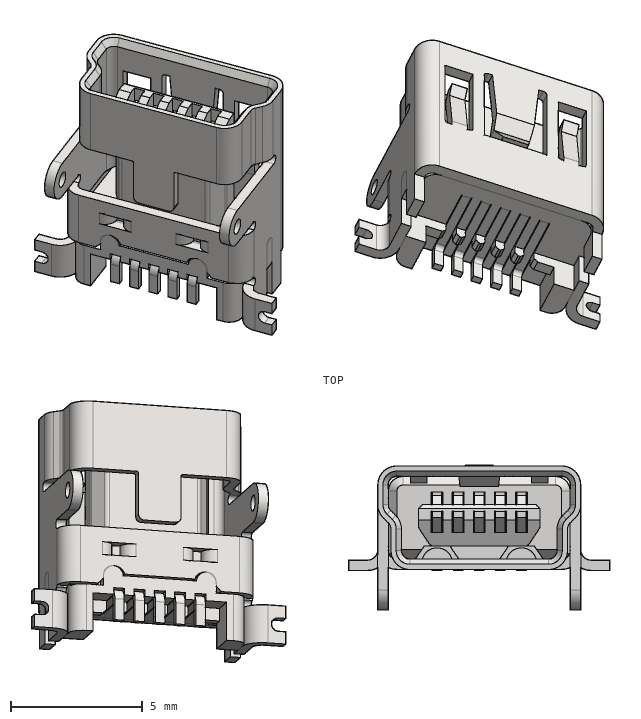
import cadquery as cq
import math


HEIGHT = 9.0
HALF_WIDTH = 3.85
DEPTH = 3.93
WALL = 0.4
CORNER_R = 0.72
INNER_R = CORNER_R - WALL
INNER_HALF = HALF_WIDTH - WALL
INNER_BACK = DEPTH - WALL
MOUTH_Z = 6.37
MOUTH_BEND_ANGLE = 45
MOUTH_NECK_INSET = 0.5
MOUTH_BEND_Y = 2.466
MOUTH_CHAMFER = 0.2
MOUTH_CHAMFER_DEPTH = 0.28
BACK_BOTTOM_Z = 1.49
FRONT_BAND_TOP_Z = 4.1
FRONT_BAND_BOTTOM_Z = 1.89
BAND_BEVEL = 0.2

FLAP_HALF = 0.84
FLAP_BOTTOM_Z = 4.48
FLAP_TIP_R = 0.22
FLAP_ROOT_R = 0.08

EAR_TOP_Z = 6.0
EAR_BOTTOM_Z = FRONT_BAND_TOP_Z + (MOUTH_Z - EAR_TOP_Z)
EAR_R = (EAR_TOP_Z - EAR_BOTTOM_Z) / 2
EAR_CENTRE_Z = (EAR_TOP_Z + EAR_BOTTOM_Z) / 2
EAR_HOLE_Y = -0.775
EAR_HOLE_R = 0.3
UPPER_RELIEF_END_Y = 2.72
LOWER_RELIEF_END_Y = 0.876

LEG_REAR_Y = DEPTH - CORNER_R
LEG_SLOT_FRONT_Y = 1.91
LEG_SLOT_REAR_Y = 2.39
LEG_SLOT_TOP_Z = 2.75

FLANGE_END_X = 4.95
FLANGE_FRONT_Y = -0.04
FLANGE_BEND_R = 0.39
FLANGE_NOTCH_X = 4.39
FLANGE_NOTCH_R = 0.26

WINDOW_X = 1.6
WINDOW_WIDTH = 1.33
WINDOW_BOTTOM_Z = 3.02
WINDOW_TOP_Z = 3.52

SPRING_ROOT_HALF = 0.95
SPRING_CREST_HALF = 0.73
SPRING_TIP_HALF = 0.52
SPRING_SLOT_HALF = 1.28
SPRING_SLOT_R = 0.15
SPRING_ROOT_Z = 8.0
SPRING_BEND_Z = 5.8
SPRING_CREST_Z = 5.2
SPRING_TIP_Z = 4.44
SPRING_SLOT_BOTTOM_Z = 4.25
SPRING_REACH = 0.38
SPRING_TIP_PROUD = 0.04
LATCH_INNER_X = 1.98
LATCH_OUTER_X = 2.61
LATCH_SLOT_INNER_X = 1.75
LATCH_SLOT_OUTER_X = 2.9
LATCH_SLOT_TOP_Z = 7.66
LATCH_SLOT_BOTTOM_Z = 4.25
LATCH_BEND_Z = 4.44
LATCH_CREST_Z = 6.27
LATCH_TIP_Z = 6.7
LATCH_REACH = 0.25

FLOOR_Z = 3.4
HOUSING_R = 0.55
FLOOR_CHAMFER = 0.33
FRONT_BEVEL_DEPTH = 0.35
FRONT_BEVEL_HEIGHT = 0.6
PLATE_SIDE_Z = 1.82
PLATE_MIDDLE_Z = 2.24
PLATE_GAP = 0.07
LUG_X = 1.83
LUG_R = 0.39
LUG_TOP_Z = 2.61
FOOT_INNER_X = 2.63
FOOT_DEPTH = 1.4
COMB_BOTTOM_Z = 1.0
COMB_FRONT_Y = 1.0
COMB_CHAMFER = 0.14
BUMP_FRONT_HALF = 0.82
BUMP_REAR_HALF = 0.49
BUMP_REAR_Y = 0.89
BUMP_TOP_Z = 3.6
DOME_HALF = 0.56
DOME_REAR_Y = 0.82
DOME_HEIGHT = 0.1
GROOVE_LIP_R = 0.5
GROOVE_HALF = WINDOW_WIDTH / 2
GROOVE_FRONT_Y = 0.0

TONGUE_HALF = 2.3
TONGUE_FRONT_HALF = 1.84
TONGUE_FRONT_Y = 0.89
TONGUE_TAPER_Y = 1.58
TONGUE_REAR_Y = 2.46
TONGUE_TIP_Z = 8.06
TONGUE_EDGE = 0.15
TONGUE_EDGE_R = 0.2
TONGUE_SLOPE_Y = 1.87
TONGUE_SLOPE_DROP = 0.5

CONTACT_COUNT = 5
CONTACT_PITCH = 0.8
CONTACT_WIDTH = 0.37
CONTACT_SLOT_WIDTH = 0.43
CONTACT_BOTTOM_Z = 0.49
CONTACT_TOP_Z = 1.75
CONTACT_BEND_R = 0.44
CONTACT_THICKNESS = CONTACT_TOP_Z - BACK_BOTTOM_Z
CONTACT_FRONT_Y = FLANGE_FRONT_Y
CONTACT_SLOT_FRONT_Y = 1.41
CONTACT_SLOT_REAR_Y = 2.93
TONGUE_SLOT_REAR_Y = 2.2
BEAM_FRONT_Y = 1.97
BEAM_SHOULDER_Z = 6.6
BEAM_TOP_Z = 7.5
HEEL_TOP_Z = 2.3
HEEL_REAR_Y = 2.81

CONTACT_XS = [(i - (CONTACT_COUNT - 1) / 2) * CONTACT_PITCH for i in range(CONTACT_COUNT)]


def box(x0, x1, y0, y1, z0, z1):
    return cq.Workplane("XY").box(x1 - x0, y1 - y0, z1 - z0, centered=False).translate((x0, y0, z0))


def both_sides(body):
    return body.union(body.mirror("YZ"))


def along_x(profile, x0, x1):
    """Extrude a YZ-plane profile from x0 to x1."""
    return profile.extrude(x1 - x0).translate((x0, 0, 0))


def along_y(profile, y0, y1):
    """Extrude an XZ-plane profile from y0 to y1."""
    return profile.extrude(y0 - y1).translate((0, y0, 0))


def rounded_block(half_width, y0, y1, radius, z0, z1):
    return box(-half_width, half_width, y0, y1, z0, z1).edges("|Z").fillet(radius)


def mouth_outline(z):
    """Outer outline of the mouth: wide at the back, necked in through S-bends."""
    neck_half = HALF_WIDTH - MOUTH_NECK_INSET
    bend = math.radians(MOUTH_BEND_ANGLE)
    rise = math.sin(bend)
    shift = 1 - math.cos(bend)
    mid_rise = math.sin(bend / 2)
    mid_shift = 1 - math.cos(bend / 2)
    bend_end_x = HALF_WIDTH - CORNER_R * shift
    bend_end_y = MOUTH_BEND_Y - CORNER_R * rise
    neck_start_x = neck_half + INNER_R * shift
    neck_start_y = bend_end_y - (bend_end_x - neck_start_x) / math.tan(bend)
    neck_y = neck_start_y - INNER_R * rise
    corner = CORNER_R * (1 - math.sqrt(0.5))
    left = [
        (-HALF_WIDTH + CORNER_R, DEPTH),
        (-HALF_WIDTH + corner, DEPTH - corner),
        (-HALF_WIDTH, DEPTH - CORNER_R),
        (-HALF_WIDTH, MOUTH_BEND_Y),
        (-HALF_WIDTH + CORNER_R * mid_shift, MOUTH_BEND_Y - CORNER_R * mid_rise),
        (-bend_end_x, bend_end_y),
        (-neck_start_x, neck_start_y),
        (-neck_half - INNER_R * mid_shift, neck_y + INNER_R * mid_rise),
        (-neck_half, neck_y),
        (-neck_half, CORNER_R),
        (-neck_half + corner, corner),
        (-neck_half + CORNER_R, 0),
    ]
    right = [(-x, y) for x, y in reversed(left)]
    outline = cq.Workplane("XY").workplane(offset=z).moveTo(*left[0])
    for side in (left, right):
        if side is right:
            outline = outline.lineTo(*side[0])
        for middle in range(1, len(side), 3):
            outline = outline.threePointArc(side[middle], side[middle + 1])
            if middle + 2 < len(side):
                outline = outline.lineTo(*side[middle + 2])
    return outline.close()


def mouth():
    height = HEIGHT - MOUTH_Z
    outer = mouth_outline(MOUTH_Z).extrude(height)
    bore = mouth_outline(MOUTH_Z).offset2D(-WALL).extrude(height)
    taper = math.degrees(math.atan2(MOUTH_CHAMFER, MOUTH_CHAMFER_DEPTH))
    lead_in = (
        mouth_outline(HEIGHT)
        .offset2D(-WALL + MOUTH_CHAMFER)
        .extrude(-MOUTH_CHAMFER_DEPTH, taper=taper)
    )
    return outer.cut(bore).cut(lead_in)


def flap():
    """Tab hanging from the front of the mouth, with rounded tip and filleted root."""
    tab = box(-FLAP_HALF, FLAP_HALF, 0, WALL, FLAP_BOTTOM_Z, MOUTH_Z)
    tab = tab.edges("|Y and <Z").fillet(FLAP_TIP_R)
    root = (
        cq.Workplane("XZ")
        .moveTo(FLAP_HALF, MOUTH_Z)
        .lineTo(FLAP_HALF + FLAP_ROOT_R, MOUTH_Z)
        .radiusArc((FLAP_HALF, MOUTH_Z - FLAP_ROOT_R), -FLAP_ROOT_R)
        .close()
    )
    return tab.union(both_sides(along_y(root, 0, WALL)))


def relief_slot(end_y, z0, z1):
    """Slot through the shell sides, open to the front, with a round inner end."""
    radius = (z1 - z0) / 2
    slot = box(-HALF_WIDTH, HALF_WIDTH, FLANGE_FRONT_Y, end_y - radius, z0, z1)
    end = cq.Workplane("YZ").center(end_y - radius, z0 + radius).circle(radius)
    return slot.union(along_x(end, -HALF_WIDTH, HALF_WIDTH))


def lug(centre_x, radius, base_z):
    """Upright tongue with a semicircular top, as thick as the shell wall."""
    centre_z = LUG_TOP_Z - radius
    stem = box(centre_x - radius, centre_x + radius, 0, WALL, base_z, centre_z)
    head = cq.Workplane("XZ").center(centre_x, centre_z).circle(radius)
    return stem.union(along_y(head, 0, WALL))


def front_band_cutout():
    """Opening in the lower edge of the front band that receives the housing plate."""
    radius = LUG_R + PLATE_GAP / 2
    centre_x = LUG_X - PLATE_GAP / 2
    outer_x = centre_x + radius
    middle = box(-centre_x, centre_x, 0, WALL, BACK_BOTTOM_Z, PLATE_MIDDLE_Z + PLATE_GAP)
    corner = cq.Workplane("XZ").polyline([
        (outer_x, FRONT_BAND_BOTTOM_Z + BAND_BEVEL),
        (outer_x + BAND_BEVEL, FRONT_BAND_BOTTOM_Z),
        (outer_x, FRONT_BAND_BOTTOM_Z),
    ]).close()
    side = lug(centre_x, radius, BACK_BOTTOM_Z).union(along_y(corner, 0, WALL))
    return middle.union(both_sides(side))


def lower_tube():
    """Rounded tube below the mouth, cut away to leave back, sides and front band."""
    tube = rounded_block(HALF_WIDTH, 0, DEPTH, CORNER_R, BACK_BOTTOM_Z, MOUTH_Z)
    tube = tube.cut(rounded_block(INNER_HALF, WALL, INNER_BACK, INNER_R, BACK_BOTTOM_Z, MOUTH_Z))
    tube = tube.cut(
        box(-HALF_WIDTH, HALF_WIDTH, 0, CORNER_R, FRONT_BAND_TOP_Z, MOUTH_Z)
    )
    tube = tube.cut(
        box(-HALF_WIDTH, HALF_WIDTH, 0, CORNER_R, BACK_BOTTOM_Z, FRONT_BAND_BOTTOM_Z)
    )
    half = WINDOW_WIDTH / 2
    window = box(WINDOW_X - half, WINDOW_X + half, 0, WALL, WINDOW_BOTTOM_Z, WINDOW_TOP_Z)
    return tube.cut(both_sides(window)).cut(front_band_cutout())


def ear():
    """Side-wall ear reaching forward, with a round end and a hole."""
    plate = box(INNER_HALF, HALF_WIDTH, EAR_HOLE_Y, UPPER_RELIEF_END_Y, EAR_BOTTOM_Z, EAR_TOP_Z)
    centre = cq.Workplane("YZ").center(EAR_HOLE_Y, EAR_CENTRE_Z)
    plate = plate.union(along_x(centre.circle(EAR_R), INNER_HALF, HALF_WIDTH))
    return plate.cut(along_x(centre.circle(EAR_HOLE_R), INNER_HALF, HALF_WIDTH))


def leg():
    """Side-wall legs below the tube; the front one bends outward into a notched flange."""
    bend_y = FLANGE_FRONT_Y + WALL + FLANGE_BEND_R
    bend_x = HALF_WIDTH + FLANGE_BEND_R
    flange = (
        cq.Workplane("XY")
        .moveTo(INNER_HALF, LEG_REAR_Y)
        .lineTo(INNER_HALF, bend_y)
        .radiusArc((bend_x, FLANGE_FRONT_Y), -(FLANGE_BEND_R + WALL))
        .lineTo(FLANGE_END_X, FLANGE_FRONT_Y)
        .lineTo(FLANGE_END_X, FLANGE_FRONT_Y + WALL)
        .lineTo(bend_x, FLANGE_FRONT_Y + WALL)
        .radiusArc((HALF_WIDTH, bend_y), FLANGE_BEND_R)
        .lineTo(HALF_WIDTH, LEG_REAR_Y)
        .close()
        .extrude(BACK_BOTTOM_Z)
    )
    strip = box(
        INNER_HALF, HALF_WIDTH, CORNER_R, LEG_REAR_Y, BACK_BOTTOM_Z, FRONT_BAND_BOTTOM_Z
    )
    notch_z = BACK_BOTTOM_Z / 2
    notch_centre_x = FLANGE_NOTCH_X + FLANGE_NOTCH_R
    notch_end = cq.Workplane("XZ").center(notch_centre_x, notch_z).circle(FLANGE_NOTCH_R)
    flange_rear_y = FLANGE_FRONT_Y + WALL
    notch = box(
        notch_centre_x, FLANGE_END_X, FLANGE_FRONT_Y, flange_rear_y,
        notch_z - FLANGE_NOTCH_R, notch_z + FLANGE_NOTCH_R,
    ).union(along_y(notch_end, FLANGE_FRONT_Y, flange_rear_y))
    return flange.union(strip).cut(notch)


def leg_slot():
    """Round-topped slot that splits each side wall into a front and a rear leg."""
    radius = (LEG_SLOT_REAR_Y - LEG_SLOT_FRONT_Y) / 2
    top_z = LEG_SLOT_TOP_Z - radius
    centre_y = LEG_SLOT_FRONT_Y + radius
    slot = box(INNER_HALF, HALF_WIDTH, LEG_SLOT_FRONT_Y, LEG_SLOT_REAR_Y, 0, top_z)
    end = cq.Workplane("YZ").center(centre_y, top_z).circle(radius)
    return both_sides(slot.union(along_x(end, INNER_HALF, HALF_WIDTH)))


def bent_strip(path, x0, x1):
    """Strip of wall thickness whose inner face follows a (y, z) path."""
    outer = [(y + WALL, z) for y, z in reversed(path)]
    return along_x(cq.Workplane("YZ").polyline(path + outer).close(), x0, x1)


def back_wall_slots():
    centre = box(
        -SPRING_SLOT_HALF, SPRING_SLOT_HALF, INNER_BACK, DEPTH, SPRING_SLOT_BOTTOM_Z, SPRING_ROOT_Z
    )
    centre = centre.edges("|Y and >Z").fillet(SPRING_SLOT_R)
    side = box(
        LATCH_SLOT_INNER_X, LATCH_SLOT_OUTER_X, INNER_BACK, DEPTH,
        LATCH_SLOT_BOTTOM_Z, LATCH_SLOT_TOP_Z,
    )
    side = side.edges("|Y and <Z").fillet((LATCH_SLOT_OUTER_X - LATCH_OUTER_X) / 2)
    return centre.union(both_sides(side))


def centre_spring():
    """Spring hanging from its root, bent into the shell, its tip just proud of the back."""
    strip = bent_strip(
        [
            (INNER_BACK, SPRING_ROOT_Z),
            (INNER_BACK, SPRING_BEND_Z),
            (INNER_BACK - SPRING_REACH, SPRING_CREST_Z),
            (INNER_BACK + SPRING_TIP_PROUD, SPRING_TIP_Z),
        ],
        -SPRING_ROOT_HALF, SPRING_ROOT_HALF,
    )
    outline = cq.Workplane("XZ").polyline([
        (-SPRING_ROOT_HALF, SPRING_ROOT_Z),
        (SPRING_ROOT_HALF, SPRING_ROOT_Z),
        (SPRING_CREST_HALF, SPRING_CREST_Z),
        (SPRING_TIP_HALF, SPRING_TIP_Z),
        (-SPRING_TIP_HALF, SPRING_TIP_Z),
        (-SPRING_CREST_HALF, SPRING_CREST_Z),
    ]).close()
    return strip.intersect(along_y(outline, INNER_BACK - SPRING_REACH, DEPTH + SPRING_TIP_PROUD))


def side_latches():
    """Latches standing on the lower slot ends, bent inward and back out at the tip."""
    latch = bent_strip(
        [
            (INNER_BACK, LATCH_SLOT_BOTTOM_Z),
            (INNER_BACK, LATCH_BEND_Z),
            (INNER_BACK - LATCH_REACH, LATCH_CREST_Z),
            (INNER_BACK, LATCH_TIP_Z),
        ],
        LATCH_INNER_X, LATCH_OUTER_X,
    )
    return both_sides(latch)


def shell():
    body = mouth().union(lower_tube())
    body = body.union(both_sides(ear())).union(both_sides(leg()))
    body = body.cut(relief_slot(UPPER_RELIEF_END_Y, EAR_TOP_Z, MOUTH_Z))
    body = body.cut(relief_slot(LOWER_RELIEF_END_Y, FRONT_BAND_TOP_Z, EAR_BOTTOM_Z))
    body = body.cut(relief_slot(LOWER_RELIEF_END_Y, BACK_BOTTOM_Z, PLATE_SIDE_Z))
    body = body.cut(leg_slot()).cut(back_wall_slots())
    return body.union(flap()).union(centre_spring()).union(side_latches())


def housing_base():
    """Block filling the shell below the floor, with the front plate, lugs and feet."""
    body = rounded_block(INNER_HALF, 0, INNER_BACK, HOUSING_R, 0, FLOOR_Z)
    body = body.faces(">Z").edges().chamfer(FLOOR_CHAMFER)
    body = body.cut(box(-INNER_HALF, INNER_HALF, 0, WALL, PLATE_SIDE_Z, FLOOR_Z))
    body = body.cut(box(-FOOT_INNER_X, FOOT_INNER_X, 0, FOOT_DEPTH, 0, BACK_BOTTOM_Z))
    body = body.cut(box(-INNER_HALF, INNER_HALF, FOOT_DEPTH, INNER_BACK, 0, BACK_BOTTOM_Z))
    middle = box(-LUG_X, LUG_X, 0, WALL, BACK_BOTTOM_Z, PLATE_MIDDLE_Z)
    body = body.union(middle).union(both_sides(lug(LUG_X, LUG_R, BACK_BOTTOM_Z)))
    bevel = cq.Workplane("YZ").polyline([
        (WALL, FLOOR_Z),
        (WALL + FRONT_BEVEL_DEPTH, FLOOR_Z),
        (WALL, FLOOR_Z - FRONT_BEVEL_HEIGHT),
    ]).close()
    return body.cut(both_sides(along_x(bevel, WINDOW_X + BUMP_REAR_HALF, INNER_HALF)))


def comb():
    """Rib under the block whose notches guide the contacts."""
    rib = box(-FOOT_INNER_X, FOOT_INNER_X, COMB_FRONT_Y, FOOT_DEPTH, COMB_BOTTOM_Z, BACK_BOTTOM_Z)
    half = CONTACT_SLOT_WIDTH / 2
    for x in CONTACT_XS:
        notch = cq.Workplane("XZ").polyline([
            (x - half - COMB_CHAMFER, COMB_BOTTOM_Z),
            (x - half, COMB_BOTTOM_Z + COMB_CHAMFER),
            (x - half, BACK_BOTTOM_Z),
            (x + half, BACK_BOTTOM_Z),
            (x + half, COMB_BOTTOM_Z + COMB_CHAMFER),
            (x + half + COMB_CHAMFER, COMB_BOTTOM_Z),
        ]).close()
        rib = rib.cut(along_y(notch, COMB_FRONT_Y, FOOT_DEPTH))
    return rib


def bump():
    """Trapezoidal block behind a front band window, topped by a low domed step."""
    block = (
        cq.Workplane("XY")
        .workplane(offset=PLATE_MIDDLE_Z)
        .polyline([
            (WINDOW_X - BUMP_FRONT_HALF, WALL),
            (WINDOW_X + BUMP_FRONT_HALF, WALL),
            (WINDOW_X + BUMP_REAR_HALF, BUMP_REAR_Y),
            (WINDOW_X - BUMP_REAR_HALF, BUMP_REAR_Y),
        ])
        .close()
        .extrude(BUMP_TOP_Z - PLATE_MIDDLE_Z)
    )
    dome = (
        cq.Workplane("XY")
        .workplane(offset=BUMP_TOP_Z)
        .moveTo(WINDOW_X - DOME_HALF, WALL)
        .threePointArc((WINDOW_X, DOME_REAR_Y), (WINDOW_X + DOME_HALF, WALL))
        .close()
        .extrude(DOME_HEIGHT)
    )
    return block.union(dome)


def window_plug():
    """Latch of the housing that fills a front band window flush with the shell."""
    return box(
        WINDOW_X - GROOVE_HALF, WINDOW_X + GROOVE_HALF,
        GROOVE_FRONT_Y, WALL, WINDOW_BOTTOM_Z, WINDOW_TOP_Z,
    )


def window_groove():
    """Groove in the latch of a front band window, its sides flaring to the front as round lips."""
    rear_half = GROOVE_HALF - GROOVE_LIP_R
    rear_y = GROOVE_FRONT_Y + GROOVE_LIP_R
    return (
        cq.Workplane("XY")
        .workplane(offset=WINDOW_BOTTOM_Z)
        .moveTo(WINDOW_X - GROOVE_HALF, GROOVE_FRONT_Y)
        .radiusArc((WINDOW_X - rear_half, rear_y), -GROOVE_LIP_R)
        .lineTo(WINDOW_X + rear_half, rear_y)
        .radiusArc((WINDOW_X + GROOVE_HALF, GROOVE_FRONT_Y), -GROOVE_LIP_R)
        .close()
        .extrude(WINDOW_TOP_Z - WINDOW_BOTTOM_Z)
    )


def tongue():
    """Tongue tapering to the front in plan, with a sloped tip and a chamfered rear edge."""
    body = (
        cq.Workplane("XY")
        .workplane(offset=FLOOR_Z)
        .polyline([
            (-TONGUE_FRONT_HALF, TONGUE_FRONT_Y),
            (TONGUE_FRONT_HALF, TONGUE_FRONT_Y),
            (TONGUE_HALF, TONGUE_TAPER_Y),
            (TONGUE_HALF, TONGUE_REAR_Y),
            (-TONGUE_HALF, TONGUE_REAR_Y),
            (-TONGUE_HALF, TONGUE_TAPER_Y),
        ])
        .close()
        .extrude(TONGUE_TIP_Z - FLOOR_Z)
    )
    body = body.edges("|Z and (not >Y)").fillet(TONGUE_EDGE_R)
    body = body.edges("|Z and >Y").chamfer(TONGUE_EDGE)
    body = body.edges(">Y and >Z").chamfer(TONGUE_EDGE)
    slope = cq.Workplane("YZ").polyline([
        (TONGUE_SLOPE_Y, TONGUE_TIP_Z),
        (TONGUE_FRONT_Y, TONGUE_TIP_Z - TONGUE_SLOPE_DROP),
        (TONGUE_FRONT_Y, TONGUE_TIP_Z),
    ]).close()
    return body.cut(along_x(slope, -TONGUE_HALF, TONGUE_HALF))


def contact_slots():
    half = CONTACT_SLOT_WIDTH / 2
    slots = cq.Workplane("XY")
    for x in CONTACT_XS:
        slots = slots.union(
            box(x - half, x + half, 0, CONTACT_SLOT_REAR_Y, BACK_BOTTOM_Z, CONTACT_TOP_Z)
        )
        slots = slots.union(
            box(x - half, x + half, CONTACT_SLOT_FRONT_Y, CONTACT_SLOT_REAR_Y, BACK_BOTTOM_Z, FLOOR_Z)
        )
        slots = slots.union(
            box(x - half, x + half, CONTACT_SLOT_FRONT_Y, TONGUE_SLOT_REAR_Y, FLOOR_Z, TONGUE_TIP_Z)
        )
    return slots


def side_keys():
    """Keys of the block that fill the leg slots of the shell flush with its sides."""
    return leg_slot().cut(box(-HALF_WIDTH, HALF_WIDTH, 0, DEPTH, 0, BACK_BOTTOM_Z))


def housing():
    body = housing_base().union(comb()).union(both_sides(bump())).union(tongue())
    body = body.union(both_sides(window_plug())).cut(both_sides(window_groove()))
    return body.cut(contact_slots()).union(side_keys())


def contact(x):
    """Solder tail bent into a level run, with a slope-topped beam inside the tongue slot."""
    bend_y = CONTACT_FRONT_Y + CONTACT_BEND_R
    bend_z = CONTACT_TOP_Z - CONTACT_BEND_R
    inner_r = CONTACT_BEND_R - CONTACT_THICKNESS
    tail = (
        cq.Workplane("YZ")
        .moveTo(CONTACT_FRONT_Y, CONTACT_BOTTOM_Z)
        .lineTo(CONTACT_FRONT_Y, bend_z)
        .radiusArc((bend_y, CONTACT_TOP_Z), CONTACT_BEND_R)
        .lineTo(CONTACT_SLOT_FRONT_Y, CONTACT_TOP_Z)
        .lineTo(CONTACT_SLOT_FRONT_Y, BEAM_SHOULDER_Z)
        .lineTo(BEAM_FRONT_Y, BEAM_TOP_Z)
        .lineTo(TONGUE_SLOT_REAR_Y, BEAM_TOP_Z)
        .lineTo(TONGUE_SLOT_REAR_Y, HEEL_TOP_Z)
        .lineTo(HEEL_REAR_Y, CONTACT_TOP_Z)
        .lineTo(CONTACT_SLOT_REAR_Y, CONTACT_TOP_Z)
        .lineTo(CONTACT_SLOT_REAR_Y, BACK_BOTTOM_Z)
        .lineTo(bend_y, BACK_BOTTOM_Z)
        .radiusArc((CONTACT_FRONT_Y + CONTACT_THICKNESS, bend_z), -inner_r)
        .lineTo(CONTACT_FRONT_Y + CONTACT_THICKNESS, CONTACT_BOTTOM_Z)
        .close()
    )
    half = CONTACT_WIDTH / 2
    return along_x(tail, x - half, x + half)


result = shell().union(housing(), clean=False)
for contact_x in CONTACT_XS:
    result = result.union(contact(contact_x), clean=False)